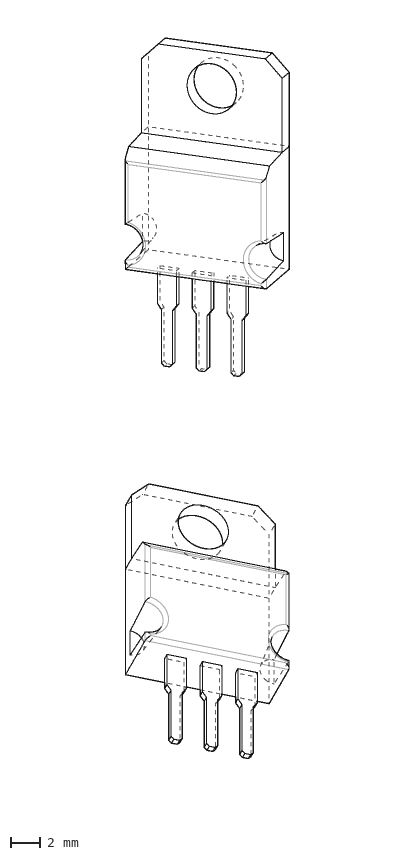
import cadquery as cq
import math

WIDTH = 10.3
DEPTH = 4.43
HEIGHT = 22.5
BACK_Y = 0
FRONT_Y = BACK_Y - DEPTH

TAB_THICKNESS = 1.28
TAB_HEIGHT = 6.6
TAB_CORNER_CUT = 1.24
HOLE_DIAMETER = 3.6
HOLE_DROP = 2.7

LEAD_LENGTH = 7.02
PACKAGE_BOTTOM = LEAD_LENGTH
PACKAGE_TOP = HEIGHT - TAB_HEIGHT
TOP_CHAMFER = 0.85
TOP_DRAFT_ANGLE = 5
FRONT_FILLET = 0.3

NOTCH_RISE = 1.98
NOTCH_DEPTH = 3.42
NOTCH_FLOOR_RADIUS = 1.01
NOTCH_DRAFT_ANGLE = 5

LEAD_COUNT = 3
LEAD_PITCH = 2.55
LEAD_THICKNESS = 0.5
LEAD_BACK_Y = BACK_Y - 2.63
LEAD_WIDE = 1.4
LEAD_NARROW = 0.8
LEAD_WIDE_LENGTH = 2.55
LEAD_TAPER_LENGTH = 0.4
LEAD_TIP_CUT = 0.2


def make_tab():
    """Flat mounting tab with two cut top corners and a through hole."""
    plate = cq.Workplane("XY").box(
        WIDTH, TAB_THICKNESS, TAB_HEIGHT, centered=(True, False, False)
    ).translate((0, BACK_Y - TAB_THICKNESS, PACKAGE_TOP))
    plate = plate.edges("|Y and >Z").chamfer(TAB_CORNER_CUT)
    hole = (
        cq.Workplane("XZ", origin=(0, BACK_Y, HEIGHT - HOLE_DROP))
        .circle(HOLE_DIAMETER / 2)
        .extrude(TAB_THICKNESS)
    )
    return plate.cut(hole)


def make_molding():
    """Molded block: level under the tab, then sloping down to a 45 degree chamfer."""
    chamfer_y = FRONT_Y + TOP_CHAMFER
    slope_run = DEPTH - TAB_THICKNESS - TOP_CHAMFER
    slope_end_z = PACKAGE_TOP - slope_run * math.tan(math.radians(TOP_DRAFT_ANGLE))
    return (
        cq.Workplane("YZ")
        .moveTo(BACK_Y, PACKAGE_BOTTOM)
        .lineTo(BACK_Y, PACKAGE_TOP)
        .lineTo(BACK_Y - TAB_THICKNESS, PACKAGE_TOP)
        .lineTo(chamfer_y, slope_end_z)
        .lineTo(FRONT_Y, slope_end_z - TOP_CHAMFER)
        .lineTo(FRONT_Y, PACKAGE_BOTTOM)
        .close()
        .extrude(WIDTH / 2, both=True)
    )


def make_notch(side):
    """Cone to cut away, centred on one side face and widening toward the front."""
    mouth_radius = NOTCH_FLOOR_RADIUS + NOTCH_DEPTH * math.tan(math.radians(NOTCH_DRAFT_ANGLE))
    axis_z = PACKAGE_BOTTOM + NOTCH_RISE
    return (
        cq.Workplane("XY", origin=(side * WIDTH / 2, FRONT_Y, axis_z))
        .lineTo(side * mouth_radius, 0)
        .lineTo(side * NOTCH_FLOOR_RADIUS, NOTCH_DEPTH)
        .lineTo(0, NOTCH_DEPTH)
        .close()
        .revolve(360, (0, 0, 0), (0, 1, 0))
    )


def make_lead(center_x):
    """Flat lead: wide at the package, tapering to a narrow leg with cut tip corners."""
    half_wide = LEAD_WIDE / 2
    half_narrow = LEAD_NARROW / 2
    half_tip = half_narrow - LEAD_TIP_CUT
    taper_top = LEAD_LENGTH - LEAD_WIDE_LENGTH
    taper_bottom = taper_top - LEAD_TAPER_LENGTH
    return (
        cq.Workplane("XZ", origin=(center_x, LEAD_BACK_Y, 0))
        .moveTo(0, LEAD_LENGTH)
        .lineTo(half_wide, LEAD_LENGTH)
        .lineTo(half_wide, taper_top)
        .lineTo(half_narrow, taper_bottom)
        .lineTo(half_narrow, LEAD_TIP_CUT)
        .lineTo(half_tip, 0)
        .lineTo(0, 0)
        .mirrorY()
        .extrude(LEAD_THICKNESS)
    )


def make_package():
    """Molding with the leads, its side notches and its rounded front rim."""
    body = make_molding()
    for index in range(LEAD_COUNT):
        center_x = (index - (LEAD_COUNT - 1) / 2) * LEAD_PITCH
        body = body.union(make_lead(center_x))
    for side in (-1, 1):
        body = body.cut(make_notch(side))
    return body.faces("<Y").edges().fillet(FRONT_FILLET)


tab = make_tab().solids()
package = make_package().solids()

result = cq.Compound.makeCompound([tab.val(), package.val()])